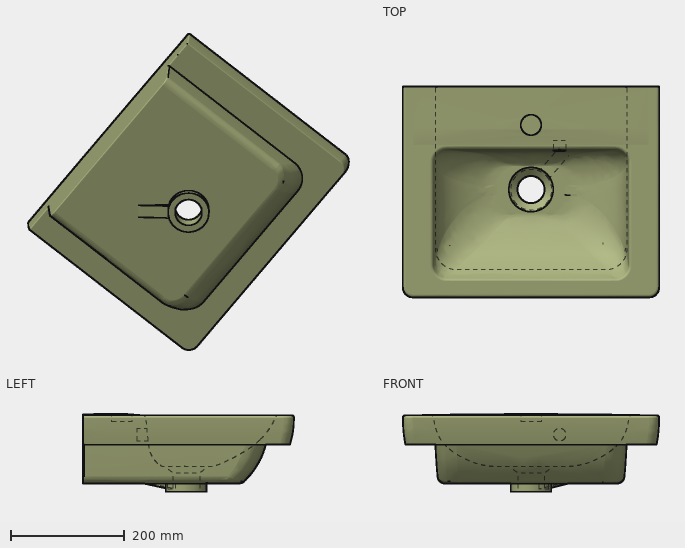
import cadquery as cq
import math


rim_width = 450.85
rim_depth = 371.27
rim_top = -2.2
rim_bottom = -54.0
rim_corner_radius = 18.0
rim_side_taper = 4.5
rim_front_taper = 7.2
rim_top_fillet = 5.0
rim_bottom_fillet = 1.8
wall_edge_fillet = 2.0

deck_half_width = 206.5
deck_crest_distance = 76.0
deck_depth = 103.0
deck_root_depth = 4.0

underside_levels = [
    (-50.0, 168.5, 323.0, 37.0),
    (-85.0, 166.5, 309.5, 37.0),
    (-104.0, 165.0, 297.0, 37.0),
    (-122.6, 163.0, 279.0, 37.0),
]
underside_bottom = underside_levels[-1][0]
underside_fillet = 14.0

basin_levels = [
    (rim_top, 172.5, 110.0, 339.0, 24.0),
    (-25.0, 168.0, 112.0, 328.0, 29.0),
    (-45.0, 159.0, 114.0, 311.0, 37.0),
    (-68.0, 135.0, 118.0, 280.0, 46.0),
    (-84.0, 104.0, 128.0, 249.0, 44.0),
    (-92.0, 60.0, 141.0, 224.0, 33.0),
]
basin_floor = basin_levels[-1][0]
basin_lip_fillet = 5.0

drain_distance = 181.5
drain_bottom = -137.0
drain_boss_radius = 36.0
drain_hole_radius = 23.6
drain_seat_radius = 39.0
drain_seat_bottom = -103.0

overflow_x = 50.0
overflow_z = -36.0
overflow_radius = 11.0
overflow_end_distance = 95.0
channel_tip_x = 57.0
channel_tip_distance = 115.0
channel_width = 22.0
channel_drop = 8.5

tap_distance = 68.0
tap_radius = 18.0
tap_depth = 12.5


def front_rounded_outline(z, half_width, depth, radius):
    """Outline square at the wall, with two rounded front corners."""
    bend = radius * math.sqrt(0.5)
    arc_x = half_width - radius + bend
    arc_y = -depth + radius - bend
    return (
        cq.Workplane("XY", origin=(0, 0, z))
        .moveTo(half_width, 0)
        .lineTo(-half_width, 0)
        .lineTo(-half_width, -depth + radius)
        .threePointArc((-arc_x, arc_y), (-half_width + radius, -depth))
        .lineTo(half_width - radius, -depth)
        .threePointArc((arc_x, arc_y), (half_width, -depth + radius))
        .close()
        .wire()
        .val()
    )


def rounded_outline(z, half_width, back, front, radius):
    """Rectangle with four equal round corners."""
    rectangle = (
        cq.Workplane("XY", origin=(0, -(back + front) / 2, z))
        .rect(2 * half_width, front - back)
        .wire()
        .val()
    )
    return rectangle.fillet2D(radius, rectangle.Vertices())


def loft(outlines):
    return cq.Workplane(cq.Solid.makeLoft(outlines))


def off_wall_edges(face):
    """Edges around a face, leaving out the one that lies on the wall plane."""
    kept = [edge for edge in face.edges().vals() if edge.Center().y < -wall_edge_fillet]
    return face.newObject(kept)


def make_rim():
    widest_z = rim_top - rim_top_fillet
    outlines = []
    for step in (0.0, 0.5, 1.0):
        z = rim_top + step * (rim_bottom - rim_top)
        curve = ((z - widest_z) / (rim_bottom - widest_z)) ** 2
        half_width = rim_width / 2 - curve * rim_side_taper
        depth = rim_depth - curve * rim_front_taper
        outlines.append(front_rounded_outline(z, half_width, depth, rim_corner_radius))
    rim = loft(outlines)
    rim = off_wall_edges(rim.faces(">Z")).fillet(rim_top_fillet)
    return off_wall_edges(rim.faces("<Z")).fillet(rim_bottom_fillet)


def make_deck():
    """Crowned deck, its crown fading out flat between the crest line and the basin lip."""
    root = rim_top - deck_root_depth

    def profile(distance):
        return (
            cq.Workplane("XZ", origin=(0, -distance, 0))
            .moveTo(deck_half_width, root)
            .lineTo(-deck_half_width, root)
            .lineTo(-deck_half_width, rim_top)
        )

    crowned = profile(0).threePointArc((0, 0), (deck_half_width, rim_top)).close()
    flat = profile(deck_depth).lineTo(deck_half_width, rim_top).close()
    crest_end = crowned.wire().val().translate(cq.Vector(0, -deck_crest_distance, 0))
    fading = cq.Workplane(cq.Solid.makeLoft([crest_end, flat.wire().val()], True))
    level = crowned.extrude(deck_crest_distance)
    level = level.faces(">Y").edges(">Z").fillet(wall_edge_fillet)
    return level.union(fading)


def make_underside():
    bowl = loft([front_rounded_outline(*level) for level in underside_levels])
    return off_wall_edges(bowl.faces("<Z")).fillet(underside_fillet)


def make_basin():
    return loft([rounded_outline(*level) for level in basin_levels])


def make_drain_boss():
    return (
        cq.Workplane("XY", origin=(0, -drain_distance, drain_bottom))
        .circle(drain_boss_radius)
        .extrude(basin_floor - drain_bottom)
    )


def make_overflow_channel():
    """Wedge under the bowl that deepens from the overflow towards the drain."""
    run_y = drain_distance - channel_tip_distance
    length = math.hypot(channel_tip_x, run_y)
    deep_end = drain_hole_radius
    return (
        cq.Workplane("XZ")
        .moveTo(deep_end, underside_bottom + channel_drop)
        .lineTo(length, underside_bottom + channel_drop)
        .lineTo(length, underside_bottom)
        .lineTo(drain_boss_radius, underside_bottom - channel_drop)
        .lineTo(deep_end, underside_bottom - channel_drop)
        .close()
        .extrude(channel_width / 2, both=True)
        .rotate((0, 0, 0), (0, 0, 1), math.degrees(math.atan2(run_y, channel_tip_x)))
        .translate((0, -drain_distance, 0))
    )


def make_drain_cut():
    """Conical seat running into the straight drain hole."""
    return (
        cq.Workplane("XZ", origin=(0, -drain_distance, 0))
        .moveTo(0, basin_floor)
        .lineTo(drain_seat_radius, basin_floor)
        .lineTo(drain_hole_radius, drain_seat_bottom)
        .lineTo(drain_hole_radius, drain_bottom)
        .lineTo(0, drain_bottom)
        .close()
        .revolve(360, (0, 0, 0), (0, 1, 0))
    )


def make_overflow_hole():
    return (
        cq.Workplane("XZ", origin=(overflow_x, -overflow_end_distance, overflow_z))
        .circle(overflow_radius)
        .extrude(drain_distance - overflow_end_distance)
    )


def make_tap_hole():
    return (
        cq.Workplane("XY", origin=(0, -tap_distance, -tap_depth))
        .circle(tap_radius)
        .extrude(tap_depth)
    )


def round_basin_lip(body):
    """Round the edge where the basin breaks through the flat top of the rim."""
    corner_x = rim_width / 2 - 4 * rim_top_fillet
    near_wall = -deck_crest_distance
    front = -rim_depth + 4 * rim_top_fillet
    margin = 0.1
    lip = cq.selectors.BoxSelector(
        (-corner_x, front, rim_top - margin),
        (corner_x, near_wall, rim_top + margin),
    )
    return body.edges(lip).fillet(basin_lip_fillet)


body = make_rim().union(make_underside())
body = body.faces(">Y").edges().fillet(wall_edge_fillet)
body = round_basin_lip(body.cut(make_basin()))
body = body.union(make_deck())
body = body.union(make_drain_boss()).union(make_overflow_channel())
body = body.cut(make_drain_cut())
body = body.cut(make_overflow_hole())
result = body.cut(make_tap_hole())